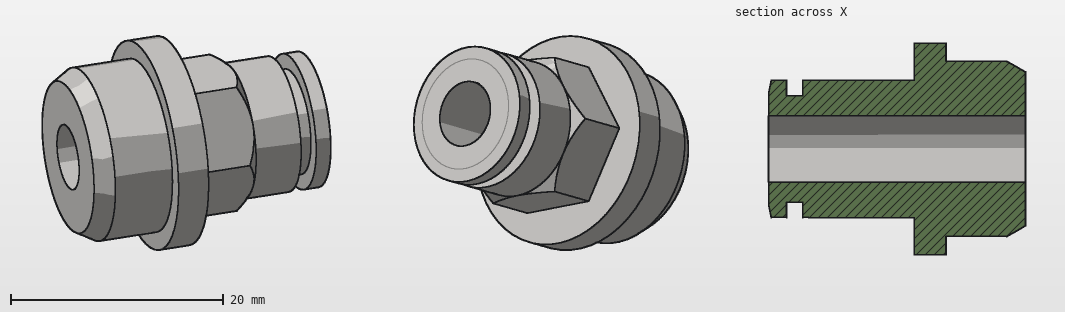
import cadquery as cq
import math

total_length = 24.25
thread_length = 7.5
flange_length = 3.0
hex_length = 6.01
body_length = 4.5
groove_length = 1.5

thread_diameter = 16.59
tip_diameter = 14.55
flange_diameter = 20.0
body_diameter = 13.0
groove_diameter = 10.1
bore_diameter = 6.2

tip_bevel_length = 1.77
cap_bevel_length = 0.25
cap_bevel_width = 1.21
hex_across_flats = body_diameter
hex_bevel_length = 0.97

flange_start = thread_length
flange_end = flange_start + flange_length
hex_end = flange_end + hex_length
body_end = hex_end + body_length
groove_end = body_end + groove_length


def cylinder(start, length, diameter):
    """Solid cylinder on the Y axis, running toward +Y from start."""
    plane = cq.Plane(origin=(0, start, 0), xDir=(1, 0, 0), normal=(0, 1, 0))
    return cq.Workplane(plane).circle(diameter / 2).extrude(length)


def revolve_profile(points):
    """Solid of revolution about Y from (radius, y) points."""
    return cq.Workplane("XY").polyline(points).close().revolve(360, (0, 0, 0), (0, 1, 0))


def threaded_end():
    """Front cylinder with a tapered tip."""
    return revolve_profile([
        (0, 0),
        (tip_diameter / 2, 0),
        (thread_diameter / 2, tip_bevel_length),
        (thread_diameter / 2, thread_length),
        (0, thread_length),
    ])


def wrench_hex():
    """Hexagon with corners on the X axis, its rear corners turned to a cone."""
    across_corners = hex_across_flats / math.cos(math.pi / 6)
    plane = cq.Plane(origin=(0, flange_end, 0), xDir=(1, 0, 0), normal=(0, 1, 0))
    prism = cq.Workplane(plane).polygon(6, across_corners).extrude(hex_length)
    envelope = revolve_profile([
        (0, flange_end),
        (across_corners / 2, flange_end),
        (across_corners / 2, hex_end - hex_bevel_length),
        (body_diameter / 2, hex_end),
        (0, hex_end),
    ])
    return prism.intersect(envelope)


def release_cap():
    """Rear collar with a shallow bevel on its end face."""
    radius = body_diameter / 2
    return revolve_profile([
        (0, groove_end),
        (radius, groove_end),
        (radius, total_length - cap_bevel_length),
        (radius - cap_bevel_width, total_length),
        (0, total_length),
    ])


result = (
    threaded_end()
    .union(cylinder(flange_start, flange_length, flange_diameter))
    .union(wrench_hex())
    .union(cylinder(hex_end, body_length, body_diameter))
    .union(cylinder(body_end, groove_length, groove_diameter))
    .union(release_cap())
    .cut(cylinder(0, total_length, bore_diameter))
)